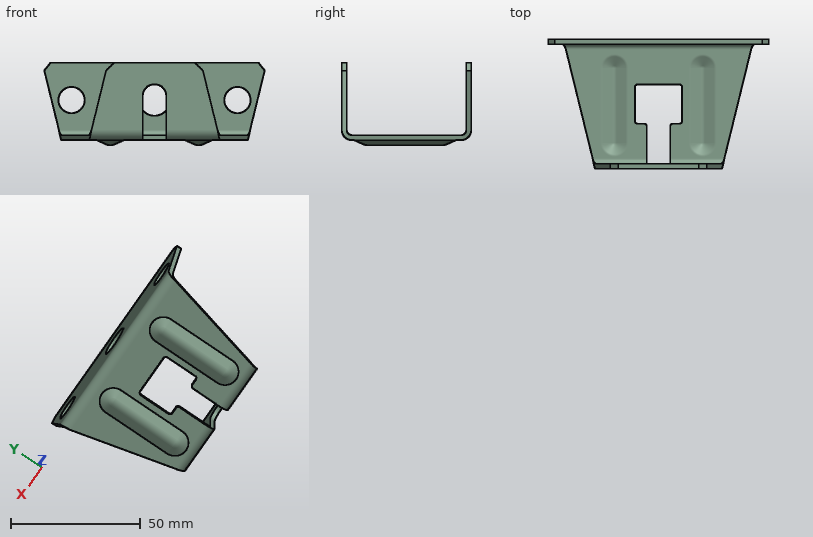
import cadquery as cq
import math

depth = 50.0
flange_height = 29.9
bend_outer = 4.0
thickness = bend_outer / 2
bend_inner = bend_outer - thickness
bend_neutral = bend_inner + thickness / 2

taper = math.tan(math.radians(13.8))
rear_half_width = 42.5
corner_height = 3.1
shoulder_z = flange_height - corner_height
rear_top_half_width = 40.0
front_top_half_width = 15.5

flange_rise = taper * (shoulder_z - bend_outer)
bend_rise = taper * bend_neutral * math.pi / 2
floor_rise = taper * (depth - 2 * bend_outer)
rear_bend_top = rear_half_width - flange_rise
rear_bend_floor = rear_bend_top - bend_rise
front_bend_floor = rear_bend_floor - floor_rise
front_bend_top = front_bend_floor - bend_rise
front_half_width = front_bend_top - flange_rise

hole_z = 15.5
side_hole_diameter = 10.0
side_hole_x = 32.0
center_hole_diameter = 12.0

slot_width = 9.0
slot_arc_z = 17.0
window_width = 18.1
window_front = 17.4
window_rear = 32.5
window_corner = 1.0

rib_x = 17.0
rib_half_width = 5.3
rib_front = 10.0
rib_rear = 38.85
rib_angle = math.radians(24)
rib_inner_radius = thickness
rib_outer_radius = rib_inner_radius + thickness


def symmetric_plate(right_points, plane, length):
    """Extrude an outline given by its right-hand points and their mirror images."""
    left_points = [(-x, v) for x, v in reversed(right_points)]
    return cq.Workplane(plane).polyline(right_points + left_points).close().extrude(length)


def make_floor():
    outline = [(front_bend_floor, bend_outer), (rear_bend_floor, depth - bend_outer)]
    return symmetric_plate(outline, "XY", thickness)


def make_flange(bend_half_width, shoulder_half_width, top_half_width, outer_y, inward):
    outline = [
        (bend_half_width, bend_outer),
        (shoulder_half_width, shoulder_z),
        (top_half_width, flange_height),
    ]
    plane = cq.Plane(origin=(0, outer_y, 0), xDir=(1, 0, 0), normal=(0, -1, 0))
    return symmetric_plate(outline, plane, -inward * thickness)


def make_bend(floor_half_width, top_half_width, axis_y, outward):
    """Quarter tube between floor and flange whose width changes evenly with the bend angle."""
    widest = max(floor_half_width, top_half_width)
    tube = (
        cq.Workplane("YZ", origin=(-widest, axis_y, bend_outer))
        .circle(bend_outer)
        .circle(bend_inner)
        .extrude(2 * widest)
    )
    steps = 6
    radial_margin = thickness / 2
    sections = []
    for step in range(steps + 1):
        fraction = step / steps
        angle = fraction * math.pi / 2
        half_width = floor_half_width + fraction * (top_half_width - floor_half_width)
        corners = []
        for x, radius in [
            (-half_width, bend_inner - radial_margin),
            (half_width, bend_inner - radial_margin),
            (half_width, bend_outer + radial_margin),
            (-half_width, bend_outer + radial_margin),
        ]:
            y = axis_y + outward * radius * math.sin(angle)
            z = bend_outer - radius * math.cos(angle)
            corners.append(cq.Vector(x, y, z))
        sections.append(cq.Wire.makePolygon(corners, close=True))
    return tube.intersect(cq.Workplane(cq.Solid.makeLoft(sections)))


def rib_profile():
    """Half section of a rib: x is the distance from its centre line, z the height."""
    sine, cosine = math.sin(rib_angle), math.cos(rib_angle)
    half_sine, half_cosine = math.sin(rib_angle / 2), math.cos(rib_angle / 2)
    wall_run = rib_half_width - rib_outer_radius * sine
    rib_depth = wall_run * math.tan(rib_angle) + rib_outer_radius * (1 - cosine)
    valley_z = rib_outer_radius - rib_depth

    def on_valley(radius, sin_value, cos_value):
        return (radius * sin_value, valley_z - radius * cos_value)

    def on_rim(sin_value, cos_value):
        return (rib_half_width - thickness * sin_value, thickness * cos_value)

    return (
        cq.Workplane("XZ")
        .moveTo(*on_valley(rib_outer_radius, 0, 1))
        .threePointArc(
            on_valley(rib_outer_radius, half_sine, half_cosine),
            on_valley(rib_outer_radius, sine, cosine),
        )
        .lineTo(rib_half_width, 0)
        .lineTo(*on_rim(0, 1))
        .threePointArc(on_rim(half_sine, half_cosine), on_rim(sine, cosine))
        .lineTo(*on_valley(rib_inner_radius, sine, cosine))
        .threePointArc(
            on_valley(rib_inner_radius, half_sine, half_cosine),
            on_valley(rib_inner_radius, 0, 1),
        )
        .close()
    )


def make_rib():
    """Rib on x = 0: a straight trough closed by a half-round dish at each end."""
    length = rib_rear - rib_front
    half_trough = rib_profile().extrude(-length).translate((0, rib_front, 0))
    trough = half_trough.union(half_trough.mirror("YZ"))
    half_dish = rib_profile().revolve(180, (0, 0, 0), (0, 1, 0))
    front_dish = half_dish.mirror("XZ").translate((0, rib_front, 0))
    rear_dish = half_dish.translate((0, rib_rear, 0))
    return trough.union(front_dish).union(rear_dish)


def rib_opening():
    length = rib_rear - rib_front + 2 * rib_half_width
    return (
        cq.Workplane("XY")
        .center(0, (rib_front + rib_rear) / 2)
        .slot2D(length, 2 * rib_half_width, 90)
        .extrude(thickness)
    )


def rear_holes():
    plane = cq.Workplane("XZ", origin=(0, depth, hole_z))
    side_spots = plane.pushPoints([(-side_hole_x, 0), (side_hole_x, 0)])
    side_holes = side_spots.circle(side_hole_diameter / 2).extrude(thickness)
    center_hole = plane.circle(center_hole_diameter / 2).extrude(thickness)
    return side_holes.union(center_hole)


def keyhole():
    half_slot = slot_width / 2
    window_length = window_rear - window_front
    window = (
        cq.Workplane("XY")
        .center(0, window_front + window_length / 2)
        .rect(window_width, window_length)
        .extrude(thickness)
    )
    slot_start = -bend_outer
    floor_slot = (
        cq.Workplane("XY")
        .center(0, (slot_start + window_front) / 2)
        .rect(slot_width, window_front - slot_start)
        .extrude(thickness)
    )
    floor_cut = floor_slot.union(window).edges("|Z").fillet(window_corner)
    flange_slot = (
        cq.Workplane("XZ")
        .moveTo(-half_slot, 0)
        .lineTo(half_slot, 0)
        .lineTo(half_slot, slot_arc_z)
        .threePointArc((0, slot_arc_z + half_slot), (-half_slot, slot_arc_z))
        .close()
        .extrude(-bend_outer)
    )
    return floor_cut.union(flange_slot)


floor = make_floor()
for x in (-rib_x, rib_x):
    floor = floor.cut(rib_opening().translate((x, 0, 0))).union(make_rib().translate((x, 0, 0)))

front_flange = make_flange(front_bend_top, front_half_width, front_top_half_width, 0, 1)
rear_flange = make_flange(rear_bend_top, rear_half_width, rear_top_half_width, depth, -1)
front_bend = make_bend(front_bend_floor, front_bend_top, bend_outer, -1)
rear_bend = make_bend(rear_bend_floor, rear_bend_top, depth - bend_outer, 1)

bracket = floor.union(front_bend).union(rear_bend).union(front_flange).union(rear_flange)
result = bracket.cut(rear_holes()).cut(keyhole())